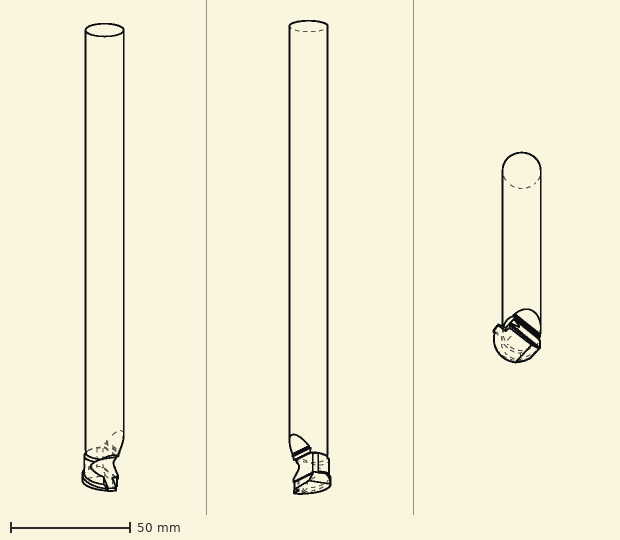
import cadquery as cq
import math

total_length = 201.2
shank_diameter = 16.0
shank_radius = shank_diameter / 2

joint_z = 12.5
neck_top_z = 14.3
neck_diameter = 15.7
neck_flat_y = 3.2
ramp_foot_y = 3.8
ramp_foot_z = 15.0
ramp_top_z = 21.1

head_radius = 8.7
head_flat_y = 2.6
head_bevel_height = 1.2
foot_flat_y = 2.0
foot_height = 3.5
side_facet_start = (-shank_radius, 0.0)
side_facet_end = (-5.0, -7.2)

fang_center = (1.8, 0.8)
fang_radius = 10.9
ledge_left_z = 4.5
ledge_slope = math.radians(10)

tip_x = 12.9
tip_height = 1.0
tip_heel_x = 12.5
tip_top_y = -0.2
tip_bottom_y = -3.8

notch_root_x = 2.8
notch_root_z = 8.7
notch_diameter = 2.8
notch_mouth_z = 14.0

underside_left_z = 3.8
underside_corner = (-3.8, 1.0)

reach = 2 * shank_diameter


def xz_prism(points, y_from, y_to):
    """Extrude an XZ outline between two Y positions."""
    outline = cq.Workplane("XZ", origin=(0, y_to, 0)).polyline(points).close()
    return outline.extrude(y_to - y_from)


def flat_limit(y):
    """Block filling all the space on the -Y side of a plane."""
    return cq.Workplane("XY").box(2 * reach, reach, 2 * reach, centered=(True, False, True)).translate(
        (0, y - reach, 0)
    )


def relief_notch():
    """V-shaped notch with a rounded root, open towards +X and cut right through along Y."""
    notch = xz_prism(
        [
            (notch_root_x, notch_root_z),
            (tip_x, tip_height),
            (reach, tip_height),
            (reach, notch_mouth_z),
            (shank_radius, notch_mouth_z),
        ],
        -reach,
        reach,
    )
    root = cq.selectors.NearestToPointSelector((notch_root_x, 0, notch_root_z))
    return notch.edges("|Y").edges(root).fillet(notch_diameter / 2)


def make_shank():
    shank = cq.Workplane("XY", origin=(0, 0, neck_top_z)).circle(shank_radius)
    shank = shank.extrude(total_length - neck_top_z)
    neck = cq.Workplane("XY", origin=(0, 0, joint_z)).circle(neck_diameter / 2)
    neck = neck.workplane(offset=neck_top_z - joint_z).circle(shank_radius).loft()
    neck = neck.intersect(flat_limit(neck_flat_y))
    ramp = (
        cq.Workplane("YZ", origin=(-reach, 0, 0))
        .moveTo(ramp_foot_y, neck_top_z)
        .lineTo(ramp_foot_y, ramp_foot_z)
        .lineTo(shank_radius, ramp_top_z)
        .lineTo(reach, ramp_top_z)
        .lineTo(reach, neck_top_z)
        .close()
        .extrude(2 * reach)
    )
    return shank.cut(ramp).union(neck).cut(relief_notch())


def head_core():
    """Upper part of the head: a bevelled cylinder, trimmed on its left side and its +Y side."""
    core = cq.Workplane("XY").circle(head_radius).extrude(joint_z)
    core = core.faces(">Z").chamfer(head_bevel_height, head_radius - neck_diameter / 2)
    core = core.intersect(flat_limit(head_flat_y))
    beyond_facet = (
        cq.Workplane("XY")
        .polyline(
            [
                (side_facet_start[0], head_radius),
                side_facet_start,
                side_facet_end,
                (side_facet_end[0], -reach),
                (-reach, -reach),
                (-reach, head_radius),
            ]
        )
        .close()
        .extrude(joint_z)
    )
    return core.cut(beyond_facet)


def fang():
    """Eccentric sector under a sloping ledge, cut off flush with the left of the shank."""
    sector = cq.Workplane("XY").center(*fang_center).circle(fang_radius).extrude(joint_z)
    sector = sector.intersect(flat_limit(tip_top_y))
    ledge_drop = (tip_x + shank_radius) * math.tan(ledge_slope)
    below_ledge = xz_prism(
        [
            (-shank_radius, 0),
            (-shank_radius, ledge_left_z),
            (tip_x, ledge_left_z - ledge_drop),
            (tip_x, 0),
        ],
        -reach,
        tip_top_y,
    )
    return sector.intersect(below_ledge)


def cutting_tip():
    """Straight-sided tooth whose end tapers back below the cutting edge."""
    return (
        cq.Workplane("XY")
        .polyline([(0, tip_top_y), (tip_x, tip_top_y), (tip_heel_x, tip_bottom_y), (0, tip_bottom_y)])
        .close()
        .extrude(notch_root_z)
    )


def below_underside():
    """Space under the head: a steep bevel on the left, then a gentle slope down to the tip."""
    return xz_prism(
        [
            (-reach, -reach),
            (-reach, underside_left_z),
            (-shank_radius, underside_left_z),
            underside_corner,
            (tip_heel_x, 0),
            (reach, 0),
            (reach, -reach),
        ],
        -reach,
        reach,
    )


def foot_relief():
    """Block that sets the +Y face back at the foot of the head."""
    return cq.Workplane("XY").box(2 * reach, reach, foot_height, centered=(True, False, False)).translate(
        (0, foot_flat_y, 0)
    )


def make_head():
    head = head_core().union(fang()).union(cutting_tip())
    return head.cut(relief_notch()).cut(foot_relief()).cut(below_underside())


shank = make_shank()
head = make_head()
result = cq.Compound.makeCompound([shank.val(), head.val()])